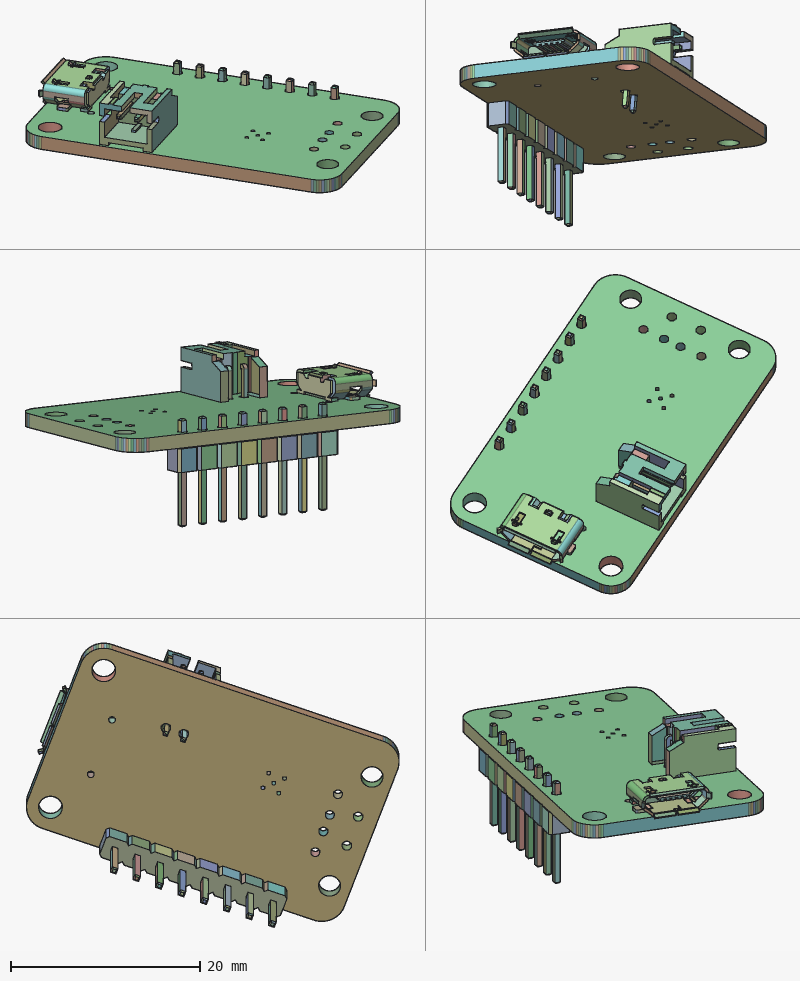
import cadquery as cq
import math


pitch = 2.54
board_length = 35.56
board_width = 21.59
board_thick = 1.5
board_corner = pitch
corner_facets = 14
mid_y = board_width / 2

mount_hole_dia = 2.5
mount_hole_inset = pitch
sensor_mount_dia = 2.3
sensor_mount_x = 33.29
sensor_mount_offset = 6.57
sensor_pin_dia = 0.95
sensor_pin_x = 30.57
sensor_pin_offsets = (-3.5, -1.0, 1.0, 3.5)
tab_hole_dia = 1.0
tab_hole_x = 33.45
tab_hole_spacing = 3.5
tab_hole_mid_y = 10.715
usb_peg_hole_dia = 0.7
usb_peg_hole_x = 5.27
usb_peg_hole_offset = 3.29
via_dia = 0.4
via_mid = (23.77, 8.425)
via_offset = 0.89

header_count = 8
header_x = 4 * pitch
header_y = board_width - pitch / 2
header_hole_dia = 1.02
header_gap = 0.1
header_block_chamfer = 0.3
header_pin_side = 0.64
header_pin_length = 11.54
header_pin_tail = 6.05
header_pin_tip = 0.15

socket_mid_x = 11.93
socket_width = 5.9
socket_front_y = 0.35
socket_depth = 7.6
socket_height = 4.8
socket_wall = 0.55
socket_floor = 0.9
socket_roof = 0.6
socket_cavity_depth = 4.15
wing_depth = 1.65
wing_width = 1.0
wing_low = 3.3
wing_high = 4.1
underside_width = 3.93
underside_height = 0.35
side_slot_depth = 1.95
side_slot_bottom = 2.66
side_slot_top = 3.35
side_slot_bulge = 0.12
roof_slot_width = 1.05
roof_slot_front = 1.73
latch_slot_width = 0.93
latch_slot_depth = 3.8
floor_rib_width = 0.47
floor_rib_length = 1.84
floor_rib_height = 0.23
mark_width = 0.47
mark_height = 0.1
mark_offset = -1.7
contact_side = 0.5
contact_pitch = 2.0
contact_recess_width = 1.45
contact_recess_depth = 0.2
contact_z = 3.22
contact_front_y = 0.8
contact_back_y = 6.8
contact_point = 0.15
contact_bend = 0.45
leg_shift = 0.25
leg_end_shift = 0.1
leg_length = 1.6
leg_tip = 0.25
leg_tip_side = 0.2
leg_hole_dia = 1.0

usb_half_width = 3.75
usb_length = 4.69
usb_top = 2.5
usb_bottom = 0.0
usb_waist = 1.0
usb_base_half = 2.55
usb_wall = 0.28
usb_shoulder_round = 0.6
usb_waist_round = 0.4
usb_base_round = 0.15
usb_cavity_depth = 3.2
usb_rear_thick = 0.22
usb_rear_half = 3.1
lip_reach = 0.46
lip_flare = 0.25
lip_end_slope = 0.2
top_lip_half = 3.1
bottom_lip_half = 2.54
bottom_lip_gap = 0.25
bottom_lip_lift = 0.12
side_lip_bottom = 1.25
side_lip_top = 1.9
tongue_half = 1.85
tongue_bottom = 1.55
tongue_top = 1.97
tongue_front = 0.6
tongue_chamfer = 0.2
tongue_round = 0.15
usb_contact_count = 5
usb_contact_pitch = 0.65
usb_contact_width = 0.4
usb_contact_height = 0.2
window_start = 1.34
window_end = 2.85
window_top = 1.4
window_bottom = 0.42
foot_start = 1.6
foot_half_width = 3.87
foot_thick = 0.35
foot_inner = 2.0
foot_round = 0.2
rear_foot_start = 4.1
rear_foot_half = 3.3
spring_mid = 2.36
spring_slot_start = 0.55
spring_slot_end = 2.38
spring_slot_width = 0.69
spring_slot_depth = 0.2
spring_slot_corner = 0.2
spring_cross_start = 1.0
spring_cross_end = 1.22
spring_cross_width = 1.15
nub_start = 0.65
nub_width = 0.45
nub_height = 0.25
dimple_start = 1.4
dimple_side = 0.38
dimple_offset = 0.08
dimple_depth = 0.1
seam_width = 0.06
seam_depth = 0.1
seam_jog_x = 0.65
seam_jog_y = 0.8
rear_notch_start = 3.65
rear_notch_step = 0.35
rear_notch_mid = 1.79
rear_notch_width = 1.16
rear_notch_depth = 0.7
rear_notch_shelf = 0.4
rear_notch_shoulder = 0.3
key_start = 3.53
key_step = 0.23
key_length = 0.47
key_width = 0.8
key_step_depth = 0.1
key_nose_length = 0.12
key_nose_width = 0.4


def box(x0, x1, y0, y1, z0, z1):
    """Box between two opposite corners."""
    return cq.Workplane("XY").box(x1 - x0, y1 - y0, z1 - z0, centered=False).translate((x0, y0, z0))


def centred_box(x0, x1, y, width, z0, z1):
    """Box of the given Y width, centred on y."""
    return box(x0, x1, y - width / 2, y + width / 2, z0, z1)


header_points = [(header_x + i * pitch, header_y) for i in range(header_count)]
contact_xs = [socket_mid_x + side * contact_pitch / 2 for side in (-1, 1)]
leg_hole_y = contact_back_y - (contact_side + leg_shift) / 2


def board_outline():
    """Rectangle whose rounded corners are made of short flat facets."""
    mid_x = board_length / 2
    points = []
    for quarter, (side_x, side_y) in enumerate([(1, 1), (-1, 1), (-1, -1), (1, -1)]):
        corner_x = mid_x + side_x * (mid_x - board_corner)
        corner_y = mid_y + side_y * (mid_y - board_corner)
        for step in range(corner_facets + 1):
            angle = math.radians(90 * (quarter + step / corner_facets))
            x = corner_x + board_corner * math.cos(angle)
            y = corner_y + board_corner * math.sin(angle)
            points.append((x, y))
    return points


def make_board():
    far_y = board_width - mount_hole_inset
    via_x, via_y = via_mid
    holes = [
        (mount_hole_dia, [(mount_hole_inset, mount_hole_inset), (mount_hole_inset, far_y)]),
        (sensor_mount_dia, [(sensor_mount_x, mid_y + s * sensor_mount_offset) for s in (-1, 1)]),
        (sensor_pin_dia, [(sensor_pin_x, mid_y + offset) for offset in sensor_pin_offsets]),
        (tab_hole_dia, [(tab_hole_x, tab_hole_mid_y + s * tab_hole_spacing / 2) for s in (-1, 1)]),
        (usb_peg_hole_dia, [(usb_peg_hole_x, mid_y + s * usb_peg_hole_offset) for s in (-1, 1)]),
        (via_dia, [via_mid]),
        (via_dia, [(via_x + i * via_offset, via_y + j * via_offset) for i in (-1, 1) for j in (-1, 1)]),
        (header_hole_dia, header_points),
        (leg_hole_dia, [(x, leg_hole_y) for x in contact_xs]),
    ]
    plate = cq.Workplane("XY").polyline(board_outline()).close().extrude(-board_thick)
    for diameter, points in holes:
        drills = cq.Workplane("XY").pushPoints(points).circle(diameter / 2).extrude(-board_thick)
        plate = plate.cut(drills)
    return plate


def make_header():
    block_top = -board_thick - header_gap
    pin_bottom = block_top - pitch - header_pin_tail
    block = (
        cq.Workplane("XY", origin=(0, 0, block_top - pitch))
        .rect(pitch, pitch)
        .extrude(pitch)
        .edges("|Z")
        .chamfer(header_block_chamfer)
    )
    pin = (
        cq.Workplane("XY", origin=(0, 0, pin_bottom))
        .rect(header_pin_side, header_pin_side)
        .extrude(header_pin_length)
        .faces("<Z or >Z")
        .chamfer(header_pin_tip)
    )
    unit = block.union(pin)
    header = unit.translate((*header_points[0], 0))
    for x, y in header_points[1:]:
        header = header.union(unit.translate((x, y, 0)))
    return header


socket_left = socket_mid_x - socket_width / 2
socket_right = socket_mid_x + socket_width / 2
socket_back_y = socket_front_y + socket_depth
wing_front_y = socket_back_y - wing_depth
cavity_back_y = socket_front_y + socket_cavity_depth
cavity_left = socket_left + socket_wall
cavity_right = socket_right - socket_wall
roof_z = socket_height - socket_roof


def socket_shell():
    """Housing block with sloping rear wings, before the openings are cut."""
    profile = [
        (socket_front_y, 0),
        (socket_back_y, 0),
        (socket_back_y, wing_low),
        (wing_front_y, wing_high),
        (wing_front_y, socket_height),
        (socket_front_y, socket_height),
    ]
    block = cq.Workplane("YZ", origin=(socket_left, 0, 0)).polyline(profile).close().extrude(socket_width)
    between_wings = box(
        socket_left + wing_width, socket_right - wing_width, wing_front_y, socket_back_y, 0, socket_height
    )
    return block.cut(between_wings)


def side_slots():
    """Bowed-end slot that runs in from the front through both side walls."""
    end_y = socket_front_y + side_slot_depth
    bow = (end_y + side_slot_bulge, (side_slot_bottom + side_slot_top) / 2)
    return (
        cq.Workplane("YZ", origin=(socket_left, 0, 0))
        .moveTo(socket_front_y, side_slot_bottom)
        .lineTo(end_y, side_slot_bottom)
        .threePointArc(bow, (end_y, side_slot_top))
        .lineTo(socket_front_y, side_slot_top)
        .close()
        .extrude(socket_width)
    )


def socket_contact(x):
    """Bent pin: a square bar pointing forward and a kinked leg through the board."""
    left = x - contact_side / 2
    top = contact_z + contact_side / 2
    bottom = contact_z - contact_side / 2
    bar = box(left, left + contact_side, contact_front_y, contact_back_y, bottom, top)
    bar = bar.faces("<Y").chamfer(contact_point).edges("|X and >Y and >Z").fillet(contact_bend)
    leg_back = [
        (contact_back_y, bottom),
        (contact_back_y, 0),
        (contact_back_y - leg_shift, -board_thick),
        (contact_back_y - leg_end_shift, -board_thick - leg_length),
    ]
    leg_front = [(y - contact_side, z) for y, z in reversed(leg_back)]
    leg = cq.Workplane("YZ", origin=(left, 0, 0)).polyline(leg_back + leg_front).close().extrude(contact_side)
    tip_y = contact_back_y - leg_end_shift - contact_side / 2
    tip = (
        cq.Workplane("XY", origin=(x, tip_y, -board_thick - leg_length))
        .rect(contact_side, contact_side)
        .workplane(offset=-leg_tip)
        .rect(leg_tip_side, leg_tip_side)
        .loft()
    )
    return bar.union(leg).union(tip)


def make_socket():
    slot_front_y = socket_front_y + roof_slot_front
    socket = socket_shell()
    socket = socket.cut(box(cavity_left, cavity_right, socket_front_y, cavity_back_y, socket_floor, roof_z))
    channel_left = socket_mid_x - underside_width / 2
    channel_right = socket_mid_x + underside_width / 2
    socket = socket.cut(box(channel_left, channel_right, socket_front_y, socket_back_y, 0, underside_height))
    socket = socket.cut(side_slots())
    for x in (cavity_left, cavity_right - roof_slot_width):
        socket = socket.cut(box(x, x + roof_slot_width, slot_front_y, wing_front_y, roof_z, socket_height))
    latch_left = socket_mid_x - latch_slot_width / 2
    latch_back_y = socket_front_y + latch_slot_depth
    socket = socket.cut(
        box(latch_left, latch_left + latch_slot_width, socket_front_y, latch_back_y, roof_z, socket_height)
    )
    rib_left = socket_mid_x - floor_rib_width / 2
    rib_front_y = cavity_back_y - floor_rib_length
    rib_top = socket_floor + floor_rib_height
    socket = socket.union(
        box(rib_left, rib_left + floor_rib_width, rib_front_y, cavity_back_y, socket_floor, rib_top)
    )
    mark_left = socket_mid_x + mark_offset - mark_width / 2
    mark_top = socket_height + mark_height
    socket = socket.union(
        box(mark_left, mark_left + mark_width, socket_front_y, slot_front_y, socket_height, mark_top)
    )
    for x in contact_xs:
        recess_left = x - contact_recess_width / 2
        recess_right = x + contact_recess_width / 2
        recess_front_y = wing_front_y - contact_recess_depth
        socket = socket.cut(box(recess_left, recess_right, recess_front_y, wing_front_y, 0, socket_height))
        socket = socket.union(socket_contact(x))
    return socket


def usb_outline():
    """Solid with the outer shape of the metal shell."""
    half = [
        (usb_half_width, usb_top),
        (usb_half_width, usb_waist),
        (usb_base_half, usb_bottom),
    ]
    mirrored = [(-y, z) for y, z in reversed(half)]
    outline = cq.Workplane("YZ").polyline(half + mirrored).close().extrude(usb_length)
    outline = outline.edges("|X and >Z").fillet(usb_shoulder_round)
    outline = outline.edges("|X and <Z").fillet(usb_base_round)
    waist = cq.selectors.BoxSelector(
        (0, -usb_half_width - usb_wall, usb_waist - usb_wall),
        (usb_length, usb_half_width + usb_wall, usb_waist + usb_wall),
    )
    return outline.edges("|X").edges(waist).fillet(usb_waist_round)


def usb_inset(solid, length):
    """Shape that lies one wall thickness inside the shell."""
    rim = solid.faces("<X").wires().toPending().workplane(invert=True)
    return rim.offset2D(-usb_wall).extrude(length, combine=False)


def usb_tongue():
    """Contact tongue with contacts along its underside."""
    tongue = centred_box(tongue_front, usb_cavity_depth, 0, 2 * tongue_half, tongue_bottom, tongue_top)
    tongue = tongue.edges("|X and <Z").fillet(tongue_round)
    tongue = tongue.faces("<X").edges("|Y and >Z").chamfer(tongue_chamfer)
    contact_bottom = tongue_bottom - usb_contact_height
    for i in range(usb_contact_count):
        y = (i - (usb_contact_count - 1) / 2) * usb_contact_pitch
        contact = centred_box(
            tongue_front, usb_cavity_depth, y, usb_contact_width, contact_bottom, tongue_bottom
        )
        tongue = tongue.union(contact)
    return tongue


def lip_profile(plane, edge, outward):
    """Flared strip leaning outward from the mouth of the shell, with a slanted end."""
    inner = edge - outward * usb_wall
    tip = edge + outward * lip_flare
    slope = lip_end_slope
    points = [(0, edge), (slope - lip_reach, tip), (-lip_reach, tip - outward * slope), (0, inner)]
    return cq.Workplane(plane).polyline(points).close()


def usb_lips():
    lips = lip_profile("XZ", usb_top, 1).extrude(top_lip_half, both=True)
    bottom_lip = lip_profile("XZ", usb_bottom + bottom_lip_lift, -1).extrude(bottom_lip_half, both=True)
    lips = lips.union(bottom_lip.cut(centred_box(-lip_reach, 0, 0, bottom_lip_gap, -usb_top, usb_top)))
    for side in (-1, 1):
        side_lip = lip_profile("XY", side * usb_half_width, side).extrude(side_lip_top - side_lip_bottom)
        lips = lips.union(side_lip.translate((0, 0, side_lip_bottom)))
    return lips


def usb_feet():
    """Solder feet on both sides at the windows, and a pair at the rear."""
    feet = cq.Workplane("XY")
    for side in (-1, 1):
        reach = foot_half_width - foot_inner
        foot_y = side * (foot_half_width + foot_inner) / 2
        foot = centred_box(foot_start, window_end, foot_y, reach, 0, foot_thick)
        outer = ">Y" if side > 0 else "<Y"
        feet = feet.add(foot.faces(outer).edges("|Z").fillet(foot_round))
        rear_y = side * (rear_foot_half + foot_inner) / 2
        rear_end = usb_length + usb_rear_thick
        rear = centred_box(rear_foot_start, rear_end, rear_y, rear_foot_half - foot_inner, 0, foot_thick)
        feet = feet.add(rear)
    return feet.combine()


def cut_spring(usb, side):
    """Shallow spring slot with a cross opening, a square dimple and a wedge-shaped nub at its front end."""
    y = side * spring_mid
    slot_floor = usb_top - spring_slot_depth
    slot = centred_box(spring_slot_start, spring_slot_end, y, spring_slot_width, slot_floor, usb_top)
    slot = slot.faces("<X").edges("|Z").chamfer(spring_slot_corner)
    cross = centred_box(
        spring_cross_start, spring_cross_end, y, spring_cross_width, usb_top - usb_wall, usb_top
    )
    nub = (
        cq.Workplane("XZ", origin=(0, y, 0))
        .moveTo(nub_start, slot_floor)
        .lineTo(nub_start, usb_top + nub_height)
        .lineTo(spring_cross_start, usb_top)
        .lineTo(spring_cross_start, slot_floor)
        .close()
        .extrude(nub_width / 2, both=True)
    )
    dimple_y = y + side * (dimple_offset + dimple_side / 2)
    dimple_end = dimple_start + dimple_side
    dimple_floor = slot_floor - dimple_depth
    dimple = centred_box(dimple_start, dimple_end, dimple_y, dimple_side, dimple_floor, slot_floor)
    return usb.cut(slot).cut(cross).cut(dimple).union(nub)


def cut_seam(usb):
    """Narrow stepped groove in the shell floor, from the mouth to the windows."""
    top = usb_bottom + usb_wall
    bottom = top - seam_depth
    half = seam_width / 2
    usb = usb.cut(centred_box(0, seam_jog_x + half, 0, seam_width, bottom, top))
    usb = usb.cut(box(seam_jog_x - half, seam_jog_x + half, -seam_jog_y, 0, bottom, top))
    return usb.cut(centred_box(seam_jog_x - half, window_start, -seam_jog_y, seam_width, bottom, top))


def cut_rear_notch(usb, side):
    """Notch in the rear of the shell top: a shallow step, then a shelf that slopes up outward."""
    step_end = rear_notch_start + rear_notch_step
    rear_end = usb_length + usb_rear_thick
    shallow = centred_box(
        rear_notch_start, step_end, side * rear_notch_mid, rear_notch_width, usb_top - usb_wall, usb_top
    )
    inner_y = side * (rear_notch_mid - rear_notch_width / 2)
    outer_y = side * (rear_notch_mid + rear_notch_width / 2)
    shelf_z = usb_top - rear_notch_depth
    deep = (
        cq.Workplane("YZ", origin=(step_end, 0, 0))
        .moveTo(inner_y, usb_top)
        .lineTo(inner_y, shelf_z)
        .lineTo(inner_y + side * rear_notch_shelf, shelf_z)
        .lineTo(outer_y - side * rear_notch_shoulder, usb_top - usb_wall)
        .lineTo(outer_y, usb_top - usb_wall)
        .lineTo(outer_y, usb_top)
        .close()
        .extrude(rear_end - step_end)
    )
    return usb.cut(shallow).cut(deep)


def cut_key(usb):
    """Stepped opening in the shell top with a narrower nose at its rear."""
    key_end = key_start + key_length
    nose_end = key_end + key_nose_length
    deep_z = usb_top - usb_wall
    usb = usb.cut(centred_box(key_start, key_end, 0, key_width, usb_top - key_step_depth, usb_top))
    usb = usb.cut(centred_box(key_start + key_step, key_end, 0, key_width, deep_z, usb_top))
    return usb.cut(centred_box(key_end, nose_end, 0, key_nose_width, deep_z, usb_top))


def make_usb():
    outline = usb_outline()
    rear_end = usb_length + usb_rear_thick
    rear = usb_inset(outline, rear_end).intersect(centred_box(0, rear_end, 0, 2 * usb_rear_half, 0, usb_top))
    cavity = usb_inset(outline, usb_cavity_depth)
    windows = centred_box(window_start, window_end, 0, 2 * usb_half_width, window_bottom, window_top)
    usb = outline.union(rear).cut(cavity).cut(windows)
    usb = usb.union(usb_tongue()).union(usb_lips()).union(usb_feet())
    for side in (-1, 1):
        usb = cut_spring(usb, side)
        usb = cut_rear_notch(usb, side)
    usb = cut_seam(cut_key(usb))
    return usb.translate((0, mid_y, 0))


board = make_board()
header = make_header()
socket = make_socket()
usb = make_usb()

bodies = [board, header, socket, usb]
result = cq.Compound.makeCompound([body.solids().val() for body in bodies])